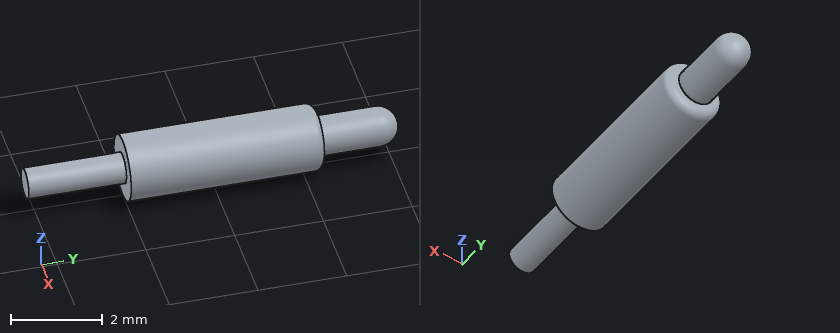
import cadquery as cq

total_length = 8.4
tail_length = 2.2
body_length = 4.4
plunger_length = total_length - tail_length - body_length

tail_diameter = 0.7
body_diameter = 1.5
plunger_diameter = 0.9
body_rounding = 0.2


def rod(start_y, length, diameter):
    """Solid cylinder on the Y axis, running from start_y toward +Y."""
    base = cq.Workplane("XZ", origin=(0, start_y, 0))
    return base.circle(diameter / 2).extrude(-length)


body_start = tail_length
plunger_start = body_start + body_length
tip_radius = plunger_diameter / 2

tail = rod(0, tail_length, tail_diameter)

body = rod(body_start, body_length, body_diameter).faces(">Y").edges().fillet(body_rounding)

shaft_length = plunger_length - tip_radius
shaft = rod(plunger_start, shaft_length, plunger_diameter)
tip = cq.Workplane("XY").sphere(tip_radius).translate((0, plunger_start + shaft_length, 0))

result = tail.union(body).union(shaft).union(tip)